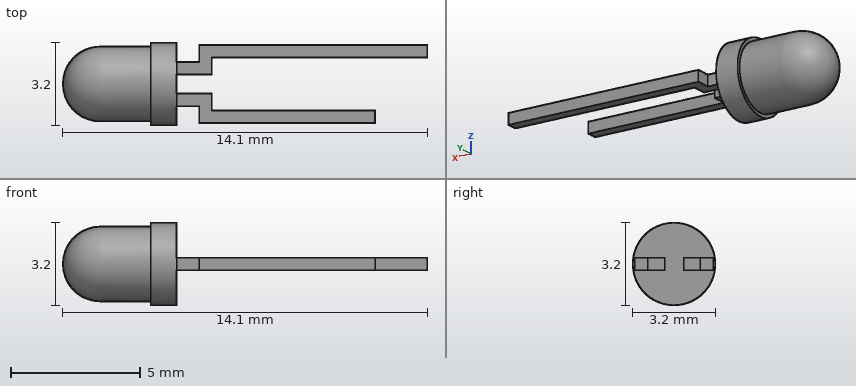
import cadquery as cq

total_length = 14.1
body_diameter = 2.9
flange_diameter = 3.2
flange_length = 1.0
case_length = 4.4

lead_size = 0.5
lead_pitch = 2.54
root_pitch = 1.23
jog_start = 5.27
short_lead_end = 12.08

body_radius = body_diameter / 2
flange_radius = flange_diameter / 2
flange_start = case_length - flange_length


def make_case():
    """Revolve the domed body and its flange about the X axis."""
    dome_mid = body_radius * (1 - 0.5 ** 0.5)
    dome_mid_height = body_radius * 0.5 ** 0.5
    return (
        cq.Workplane("XY")
        .moveTo(0, 0)
        .threePointArc((dome_mid, dome_mid_height), (body_radius, body_radius))
        .lineTo(flange_start, body_radius)
        .lineTo(flange_start, flange_radius)
        .lineTo(case_length, flange_radius)
        .lineTo(case_length, 0)
        .close()
        .revolve(360, (0, 0, 0), (1, 0, 0))
    )


def make_lead(side, end):
    """Make one jogged lead on the +Y (side = 1) or -Y (side = -1) half."""
    half = lead_size / 2
    root_inner = root_pitch / 2 - half
    root_outer = root_pitch / 2 + half
    leg_inner = lead_pitch / 2 - half
    leg_outer = lead_pitch / 2 + half
    jog_end = jog_start + lead_size
    outline = [
        (case_length, root_inner),
        (jog_end, root_inner),
        (jog_end, leg_inner),
        (end, leg_inner),
        (end, leg_outer),
        (jog_start, leg_outer),
        (jog_start, root_outer),
        (case_length, root_outer),
    ]
    return (
        cq.Workplane("XY")
        .polyline([(x, side * y) for x, y in outline])
        .close()
        .extrude(half, both=True)
    )


long_lead = make_lead(1, total_length)
short_lead = make_lead(-1, short_lead_end)
result = make_case().union(long_lead).union(short_lead)